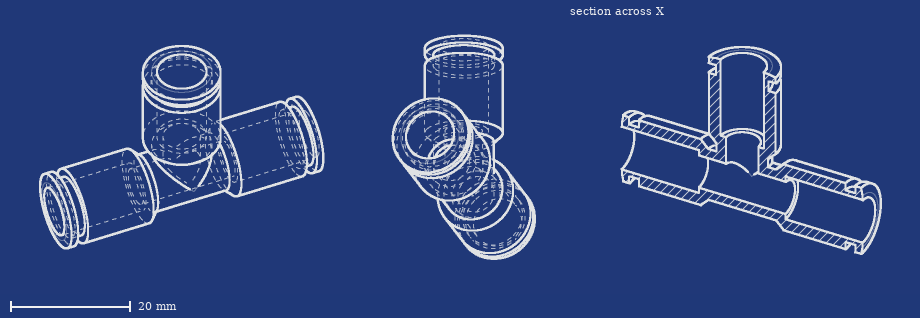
import cadquery as cq

arm_length = 23.25
body_radius = 6.5
neck_radius = 5.0
groove_radius = 5.1
collar_width = 1.5
groove_width = 1.8
body_length = 11.95
shoulder_height = body_radius - neck_radius
end_taper = 0.3
end_face_radius = 5.0

passage_radius = 3.1
socket_radius = 4.15
socket_depth = 14.9

collar_start = arm_length - collar_width
body_end = collar_start - groove_width
body_start = body_end - body_length
neck_end = body_start - shoulder_height


def arm_solid():
    """Outer shape of one arm, revolved about +Z from the tee centre."""
    profile = [
        (0, 0),
        (neck_radius, 0),
        (neck_radius, neck_end),
        (body_radius, body_start),
        (body_radius, body_end),
        (groove_radius, body_end),
        (groove_radius, collar_start),
        (body_radius, collar_start),
        (body_radius, arm_length - end_taper),
        (end_face_radius, arm_length),
        (0, arm_length),
    ]
    return cq.Workplane("XZ").polyline(profile).close().revolve(360, (0, 0, 0), (0, 1, 0))


def arm_bore():
    """Flow passage from the tee centre, widening to the tube socket."""
    passage = cq.Workplane("XY").circle(passage_radius).extrude(arm_length)
    socket = (
        cq.Workplane("XY")
        .workplane(offset=arm_length - socket_depth)
        .circle(socket_radius)
        .extrude(socket_depth)
    )
    return passage.union(socket)


def place_on_arms(shape):
    """Copy an upright shape onto the +Z, +Y and -Y arms and join the copies."""
    placed = shape
    for angle in (90, -90):
        placed = placed.union(shape.rotate((0, 0, 0), (1, 0, 0), angle))
    return placed


result = place_on_arms(arm_solid()).cut(place_on_arms(arm_bore()))